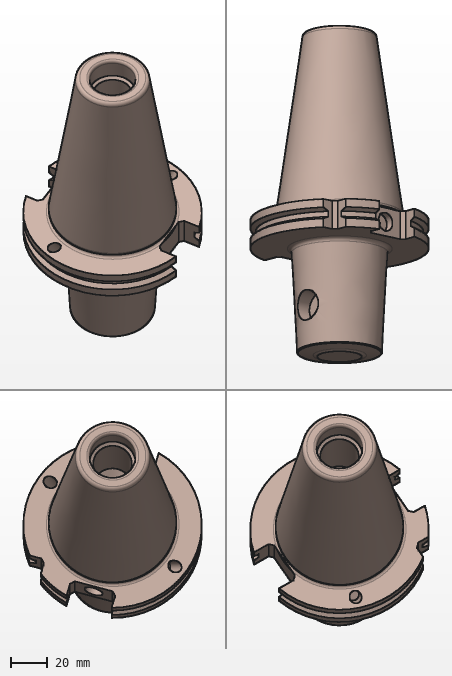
import cadquery as cq
import math


TOTAL_HEIGHT = 181.8
GAUGE_Z = 80.0
FLANGE_TOP_Z = 76.7
FLANGE_BOTTOM_Z = 60.9

TAPER_RATIO = 7 / 24
GAUGE_RADIUS = 34.9
TAPER_END_ROUND = 2.4
COLLAR_HEIGHT = 1.6
NECK_RADIUS = 34.5
NECK_FLARE = 1.6

FLANGE_RADIUS = 48.7
GROOVE_Z = 68.9
GROOVE_WIDTH = 6.4
GROOVE_DEPTH = 2.9
GROOVE_FLANK_ANGLE = 30.0

SLOT_WIDTH = 25.6
SLOT_FLOOR_LEFT = 37.6
SLOT_FLOOR_RIGHT = 35.5
CORNER_CHAMFER = 2.2
NOTCH_OFFSET = 29.8
NOTCH_CHAMFER = 2.2

CHIP_RADIUS = 5.0
CHIP_DEPTH = 4.5
CHIP_MARK_RADIUS = 0.27
CHIP_MARK_DEPTH = 0.5

NOSE_TOP_RADIUS = 26.4
NOSE_TIP_RADIUS = 23.3
NOSE_FILLET = 2.4
NOSE_EDGE_Z = 2.5
NOSE_EDGE_CHAMFER = 0.5
NOSE_STEP_RADIUS = 14.5
NOSE_STEP_Z = 0.9
NOSE_END_RADIUS = 12.2

BORE_RADIUS = 12.5
BORE_DEPTH = 11.5
BORE_MOUTH_ROUND = 1.6
THREAD_RADIUS = 10.5
THREAD_DEPTH = 47.3
DRILL_POINT_ANGLE = 118.0

COOLANT_RADIUS = 3.3
COOLANT_PITCH_RADIUS = 42.0
COOLANT_TILT = 32.0
COOLANT_DEPTH = 12.7
COOLANT_ANGLES = (70.0, 250.0)

SCREW_RADIUS = 8.4
SCREW_Z = 25.0
SCREW_FLOOR_Y = 14.5


def make_body():
    """Revolve the outer profile of nose, flange and taper."""
    top_radius = GAUGE_RADIUS - (TOTAL_HEIGHT - GAUGE_Z) * TAPER_RATIO / 2
    collar_bottom_z = GAUGE_Z - COLLAR_HEIGHT
    neck_step = GAUGE_RADIUS - NECK_RADIUS
    flare_sagitta = NECK_FLARE * (1 - math.sqrt(0.5))
    profile = (
        cq.Workplane("XZ")
        .moveTo(0, 0)
        .lineTo(NOSE_END_RADIUS, 0)
        .lineTo(NOSE_STEP_RADIUS, NOSE_STEP_Z)
        .lineTo(NOSE_TIP_RADIUS - NOSE_EDGE_CHAMFER, NOSE_EDGE_Z - NOSE_EDGE_CHAMFER)
        .lineTo(NOSE_TIP_RADIUS, NOSE_EDGE_Z)
        .lineTo(NOSE_TOP_RADIUS, FLANGE_BOTTOM_Z)
        .lineTo(FLANGE_RADIUS, FLANGE_BOTTOM_Z)
        .lineTo(FLANGE_RADIUS, FLANGE_TOP_Z)
        .lineTo(NECK_RADIUS + NECK_FLARE, FLANGE_TOP_Z)
        .threePointArc(
            (NECK_RADIUS + flare_sagitta, FLANGE_TOP_Z + flare_sagitta),
            (NECK_RADIUS, FLANGE_TOP_Z + NECK_FLARE),
        )
        .lineTo(NECK_RADIUS, collar_bottom_z - neck_step / 2)
        .lineTo(GAUGE_RADIUS, collar_bottom_z + neck_step / 2)
        .lineTo(GAUGE_RADIUS, GAUGE_Z)
        .lineTo(top_radius, TOTAL_HEIGHT)
        .lineTo(0, TOTAL_HEIGHT)
        .close()
    )
    body = profile.revolve(360, (0, 0, 0), (0, 1, 0))
    body = body.faces(">Z").edges().fillet(TAPER_END_ROUND)
    flange_underside = body.faces("|Z").faces(
        cq.selectors.NearestToPointSelector((0, 0, FLANGE_BOTTOM_Z))
    )
    nose_root = flange_underside.edges(cq.selectors.RadiusNthSelector(0))
    return nose_root.fillet(NOSE_FILLET)


def make_groove():
    """V groove with a flat floor around the flange rim."""
    floor_radius = FLANGE_RADIUS - GROOVE_DEPTH
    rim_half = GROOVE_WIDTH / 2
    floor_half = rim_half - GROOVE_DEPTH * math.tan(math.radians(GROOVE_FLANK_ANGLE))
    return (
        cq.Workplane("XZ")
        .polyline([
            (floor_radius, GROOVE_Z - floor_half),
            (FLANGE_RADIUS, GROOVE_Z - rim_half),
            (FLANGE_RADIUS, GROOVE_Z + rim_half),
            (floor_radius, GROOVE_Z + floor_half),
        ])
        .close()
        .revolve(360, (0, 0, 0), (0, 1, 0))
    )


def make_flange_cutter(x_inner, y_low, y_high, side):
    """Block through the flange height, from x_inner outward on the given X side."""
    length = FLANGE_RADIUS - x_inner
    return (
        cq.Workplane("XY", origin=(0, 0, FLANGE_BOTTOM_Z))
        .center(side * (x_inner + length / 2), (y_low + y_high) / 2)
        .rect(length, y_high - y_low)
        .extrude(FLANGE_TOP_Z - FLANGE_BOTTOM_Z)
    )


def make_slot(floor_distance, side):
    """Drive slot with chamfered floor corners."""
    slot = make_flange_cutter(floor_distance, -SLOT_WIDTH / 2, SLOT_WIDTH / 2, side)
    inner_edges = "|Z and <X" if side > 0 else "|Z and >X"
    return slot.edges(inner_edges).chamfer(CORNER_CHAMFER)


def make_notch():
    """Square orientation notch in the (-X, +Y) part of the flange rim."""
    notch = make_flange_cutter(NOTCH_OFFSET, NOTCH_OFFSET, FLANGE_RADIUS, -1)
    return notch.edges("|Z and >X and <Y").chamfer(NOTCH_CHAMFER)


def make_chip_pocket():
    """Round flat-bottomed pocket with a small centre mark in the -X slot floor."""
    slot_floor = cq.Workplane("YZ", origin=(-SLOT_FLOOR_LEFT, 0, GROOVE_Z))
    pocket = slot_floor.circle(CHIP_RADIUS).extrude(CHIP_DEPTH)
    mark = slot_floor.circle(CHIP_MARK_RADIUS).extrude(CHIP_DEPTH + CHIP_MARK_DEPTH)
    return pocket.union(mark)


def make_bore():
    """Rounded mouth, cone-bottomed counterbore and drilled thread hole from the top."""
    mouth_radius = BORE_RADIUS + BORE_MOUTH_ROUND
    mouth_sagitta = BORE_MOUTH_ROUND * (1 - math.sqrt(0.5))
    step_z = TOTAL_HEIGHT - BORE_DEPTH
    thread_end_z = TOTAL_HEIGHT - THREAD_DEPTH
    point_slope = 1 / math.tan(math.radians(DRILL_POINT_ANGLE / 2))
    return (
        cq.Workplane("XZ")
        .moveTo(0, TOTAL_HEIGHT)
        .lineTo(mouth_radius, TOTAL_HEIGHT)
        .threePointArc(
            (BORE_RADIUS + mouth_sagitta, TOTAL_HEIGHT - mouth_sagitta),
            (BORE_RADIUS, TOTAL_HEIGHT - BORE_MOUTH_ROUND),
        )
        .lineTo(BORE_RADIUS, step_z)
        .lineTo(THREAD_RADIUS, step_z - (BORE_RADIUS - THREAD_RADIUS) * point_slope)
        .lineTo(THREAD_RADIUS, thread_end_z)
        .lineTo(0, thread_end_z - THREAD_RADIUS * point_slope)
        .close()
        .revolve(360, (0, 0, 0), (0, 1, 0))
    )


def make_coolant_hole(angle):
    """Blind hole entering the flange top and leaning toward the axis."""
    tilt = math.radians(COOLANT_TILT)
    axis = cq.Vector(-math.sin(tilt), 0, -math.cos(tilt))
    mouth = cq.Vector(COOLANT_PITCH_RADIUS, 0, FLANGE_TOP_Z)
    lead_in = COOLANT_RADIUS * math.tan(tilt)
    hole = cq.Solid.makeCylinder(
        COOLANT_RADIUS, COOLANT_DEPTH + lead_in, mouth - axis * lead_in, axis
    )
    return cq.Workplane(hole).rotate((0, 0, 0), (0, 0, 1), angle)


def make_screw_hole():
    """Flat-bottomed clamping screw hole in the +Y side of the nose."""
    return (
        cq.Workplane("XZ", origin=(0, SCREW_FLOOR_Y, SCREW_Z))
        .circle(SCREW_RADIUS)
        .extrude(SCREW_FLOOR_Y - NOSE_TOP_RADIUS)
    )


result = make_body().cut(make_groove())
result = result.cut(make_slot(SLOT_FLOOR_LEFT, -1))
result = result.cut(make_slot(SLOT_FLOOR_RIGHT, 1))
result = result.cut(make_notch())
result = result.cut(make_chip_pocket())
result = result.cut(make_bore())
for hole_angle in COOLANT_ANGLES:
    result = result.cut(make_coolant_hole(hole_angle))
result = result.cut(make_screw_hole())